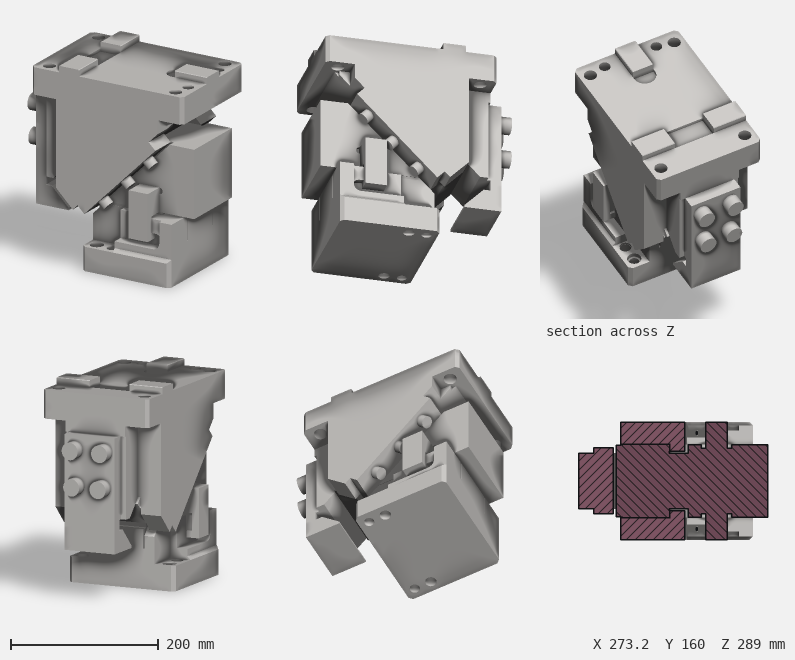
import cadquery as cq
import math


CHANNEL_ROOF_LEVEL = 95.5
ARM_LEVEL = 19.5
GIB_THICKNESS = 15.0
GIB_LEVEL = ARM_LEVEL - GIB_THICKNESS * math.sqrt(2)
GROOVE_LEVEL = -6.0
BASE_SLOPE_LEVEL = -6.6
LINER_THICKNESS = 9.0
LINER_LEVEL = CHANNEL_ROOF_LEVEL - LINER_THICKNESS * math.sqrt(2)
ARM_END_REACH = 151.5
SLIDER_END_REACH = 158.7
GIB_START_REACH = 166.5
GIB_END_REACH = 391.5

TOTAL_HEIGHT = 289.0
HALF_DEPTH = 80.0
CORNER_CHAMFER = 5.0
CHANNEL_HALF_WIDTH = 49.7
LINER_HALF_WIDTH = 48.5
GIB_INNER_Y = 40.0

PLATE_LENGTH = 240.0
PLATE_BOTTOM = 240.0
PLATE_TOP = 279.5
MOUNT_HOLE_DIAMETER = 18.0
MOUNT_HOLE_X = (20.0, 219.5)
MOUNT_HOLE_Y = 64.7
DOWEL_DIAMETER = 16.0
DOWEL_X = 224.5
DOWEL_Y = 40.0
DOWEL_DEPTH = 29.0
KEY_WIDTH = 31.8
KEY_CHAMFER = 1.0
KEYWAY_DEPTH = 5.0
CROSS_KEY_X = 59.8
CROSS_KEY_INNER_Y = 30.0
END_KEY_START = 189.0
END_KEYWAY_START = 168.8
CORE_HALF_WIDTH = 45.0
CORE_BOTTOM = 110.0
ARM_START = 40.0
ARM_END = 200.0
ARM_RIB_END = 214.5
ARM_RIB_OUTER_Y = 55.0
GIB_SCREW_DIAMETER = 16.8
GIB_SCREW_HEIGHT = 11.8
GIB_SCREW_Y = 65.0
GIB_SCREW_REACHES = (208.7, 279.2, 349.7)
STOP_HALF_WIDTH = 38.0
STOP_LEFT = -17.0
STOP_SEAT = 3.2
STOP_TOP = 225.0
STOP_BOTTOM = 65.0
STOP_NOTCH_X = -2.0
STOP_NOTCH_BOTTOM = 95.0
STOP_HOOK_X = 34.5
STOP_HOOK_SLOPE_START = 7.8
STOP_SCREW_DIAMETER = 24.0
STOP_SCREW_HEIGHT = 16.2
STOP_SCREWS = ((22.3, 205.0), (20.0, 155.0))

SLIDER_BOTTOM = 94.8
SLIDER_TOP = 195.0
NECK_HALF_WIDTH = 38.0
HOOK_START = 154.5
HOOK_END = 184.7
HOOK_BOTTOM = 60.7
HOOK_TOP = 130.0
HOOK_TOE_INNER_Y = 61.5
HOOK_LEG_INNER_Y = 70.0
HOOK_TONGUE_HEIGHT = 9.8
HOOK_POCKET_LENGTH = 40.5
HOOK_POCKET_DEPTH = 5.0

BASE_START = 80.0
BASE_END = 219.4
FOOT_TOP = 35.3
BASE_TOP = 90.7
SHOULDER_START = 129.5
SHOULDER_Y = 75.0
RIDGE_HALF_WIDTH = 32.5
RIDGE_STEP_X = 90.0
RIDGE_STEP_Z = 82.0
RAIL_END = 189.0
RAIL_OUTER_Y = 49.0
SLOT_OUTER_Y = 34.7
SLOT_BOTTOM = 55.5
RECESS_INNER_Y = 59.2
LIP_OUTER_Y = 68.5
LIP_START = 158.0
RECESS_END = 200.0
RECESS_BOTTOM = 50.0
RECESS_RADIUS = 10.0
LIP_BOTTOM = RECESS_BOTTOM + 2 * RECESS_RADIUS
BOLT_X = 95.0
BOLT_Y = 65.0
BOLT_DIAMETER = 14.0
BOLT_HEAD_DIAMETER = 19.5
BOLT_HEAD_DEPTH = 6.0
BASE_DOWEL_X = 120.0
BASE_DOWEL_DIAMETER = 15.5
BASE_DOWEL_RELIEF_DIAMETER = 16.5
BASE_DOWEL_RELIEF_DEPTH = 3.0


def on_slope(level, reach):
    """The (x, z) point where a plane along the slope meets a plane across it."""
    return ((reach - level) / 2, (reach + level) / 2)


def at_height(level, z):
    """The (x, z) point of a plane along the slope at a given height."""
    return (z - level, z)


def block(x0, x1, y0, y1, z0, z1):
    return cq.Workplane("XY").box(x1 - x0, y1 - y0, z1 - z0, centered=False).translate((x0, y0, z0))


def prism(points, y0, y1):
    """An outline in the XZ plane, extruded from y0 to y1."""
    return cq.Workplane("XZ", origin=(0, y0, 0)).polyline(points).close().extrude(y0 - y1)


def both_sides(shape):
    """A shape together with its mirror image across the middle plane."""
    return shape.union(shape.mirror("XZ"))


def upright_holes(places, diameter, bottom, top):
    holes = cq.Workplane("XY").workplane(offset=bottom).pushPoints(places)
    return holes.circle(diameter / 2).extrude(top - bottom)


def top_plate():
    plate = block(0, PLATE_LENGTH, -HALF_DEPTH, HALF_DEPTH, PLATE_BOTTOM, PLATE_TOP)
    plate = plate.edges("|Z").chamfer(CORNER_CHAMFER)
    floor = PLATE_TOP - KEYWAY_DEPTH
    half_key = KEY_WIDTH / 2

    key_left = CROSS_KEY_X - half_key
    key_right = CROSS_KEY_X + half_key
    cross_keyway = block(key_left, key_right, -HALF_DEPTH, HALF_DEPTH, floor, PLATE_TOP)
    end_keyway_center = END_KEYWAY_START + half_key
    end_keyway = block(end_keyway_center, PLATE_LENGTH, -half_key, half_key, floor, PLATE_TOP)
    end_keyway = end_keyway.union(upright_holes([(end_keyway_center, 0)], KEY_WIDTH, floor, PLATE_TOP))
    cross_key = block(key_left, key_right, CROSS_KEY_INNER_Y, HALF_DEPTH, floor, TOTAL_HEIGHT)
    cross_key = cross_key.edges(">Z and |Y").chamfer(KEY_CHAMFER)
    end_key = block(END_KEY_START, PLATE_LENGTH, -half_key, half_key, floor, TOTAL_HEIGHT)
    end_key = end_key.edges(">Z and |X").chamfer(KEY_CHAMFER)
    return plate.cut(cross_keyway).cut(end_keyway).union(both_sides(cross_key)).union(end_key)


def holder_core():
    return prism(
        [
            (0, PLATE_BOTTOM),
            (0, STOP_TOP),
            (STOP_SEAT, STOP_TOP),
            (STOP_SEAT, CORE_BOTTOM),
            at_height(CHANNEL_ROOF_LEVEL, CORE_BOTTOM),
            at_height(CHANNEL_ROOF_LEVEL, PLATE_BOTTOM),
        ],
        -CORE_HALF_WIDTH,
        CORE_HALF_WIDTH,
    )


def slider_channel():
    """The space between the arms: a narrower layer under the roof, then the full width."""

    def layer(level, half_width):
        roof_start = at_height(level, 0)
        roof_end = at_height(level, PLATE_BOTTOM)
        corner = (PLATE_LENGTH, PLATE_BOTTOM)
        return prism([roof_start, roof_end, corner, (PLATE_LENGTH, 0)], -half_width, half_width)

    return layer(CHANNEL_ROOF_LEVEL, LINER_HALF_WIDTH).union(layer(LINER_LEVEL, CHANNEL_HALF_WIDTH))


def arm():
    """A side arm, its end rib and the part of the slider channel sunk into it."""
    outline = [
        (ARM_START, PLATE_BOTTOM),
        (ARM_START, ARM_END_REACH - ARM_START),
        on_slope(ARM_LEVEL, ARM_END_REACH),
        (ARM_END, ARM_END + ARM_LEVEL),
        (ARM_END, PLATE_BOTTOM),
    ]
    rib_outline = [
        (ARM_END, PLATE_BOTTOM),
        (ARM_END, ARM_END + ARM_LEVEL),
        (ARM_RIB_END, ARM_RIB_END + ARM_LEVEL),
        (ARM_RIB_END, PLATE_BOTTOM),
    ]
    rib = prism(rib_outline, CORE_HALF_WIDTH, ARM_RIB_OUTER_Y)
    return prism(outline, CORE_HALF_WIDTH, HALF_DEPTH).union(rib).cut(slider_channel())


def gib():
    """The retaining plate under an arm, with the screw heads on its lower face."""
    outline = [
        on_slope(ARM_LEVEL, GIB_START_REACH),
        on_slope(GIB_LEVEL, GIB_START_REACH),
        on_slope(GIB_LEVEL, GIB_END_REACH),
        on_slope(ARM_LEVEL, GIB_END_REACH),
    ]
    plate = prism(outline, GIB_INNER_Y, HALF_DEPTH)
    for reach in GIB_SCREW_REACHES:
        x, z = on_slope(GIB_LEVEL, reach)
        head_plane = cq.Plane(origin=(x, GIB_SCREW_Y, z), xDir=(0, 1, 0), normal=(1, 0, -1))
        plate = plate.union(cq.Workplane(head_plane).circle(GIB_SCREW_DIAMETER / 2).extrude(GIB_SCREW_HEIGHT))
    return plate


def stop_plate():
    """The hooked plate on the left end of the holder, with its four screw heads."""
    hook_drop = STOP_HOOK_X - STOP_HOOK_SLOPE_START
    outline = [
        (STOP_LEFT, STOP_TOP),
        (STOP_SEAT, STOP_TOP),
        (STOP_SEAT, CORE_BOTTOM),
        (STOP_NOTCH_X, CORE_BOTTOM),
        (STOP_NOTCH_X, STOP_NOTCH_BOTTOM),
        (STOP_HOOK_SLOPE_START, STOP_NOTCH_BOTTOM),
        (STOP_HOOK_X, STOP_NOTCH_BOTTOM - hook_drop),
        (STOP_HOOK_X, STOP_BOTTOM),
        (STOP_LEFT, STOP_BOTTOM),
    ]
    plate = prism(outline, -STOP_HALF_WIDTH, STOP_HALF_WIDTH)
    places = [(side * y, z) for y, z in STOP_SCREWS for side in (-1, 1)]
    heads = cq.Workplane("YZ", origin=(STOP_LEFT, 0, 0)).pushPoints(places)
    return plate.union(heads.circle(STOP_SCREW_DIAMETER / 2).extrude(-STOP_SCREW_HEIGHT))


def make_holder():
    holder = top_plate().union(holder_core()).union(stop_plate())
    holder = holder.union(both_sides(arm())).union(both_sides(gib()))
    mount_places = [(x, side * MOUNT_HOLE_Y) for x in MOUNT_HOLE_X for side in (-1, 1)]
    dowel_places = [(DOWEL_X, side * DOWEL_Y) for side in (-1, 1)]
    holder = holder.cut(upright_holes(mount_places, MOUNT_HOLE_DIAMETER, PLATE_BOTTOM, PLATE_TOP))
    return holder.cut(upright_holes(dowel_places, DOWEL_DIAMETER, PLATE_TOP - DOWEL_DEPTH, PLATE_TOP))


def slider_layer(upper_level, lower_level, half_width):
    """One layer of the flange that fills the holder's channel."""
    outline = [
        on_slope(upper_level, SLIDER_END_REACH),
        at_height(upper_level, PLATE_BOTTOM),
        at_height(lower_level, PLATE_BOTTOM),
        on_slope(lower_level, SLIDER_END_REACH),
    ]
    return prism(outline, -half_width, half_width)


def slider_body():
    liner = slider_layer(CHANNEL_ROOF_LEVEL, LINER_LEVEL, LINER_HALF_WIDTH)
    flange = slider_layer(LINER_LEVEL, ARM_LEVEL, CHANNEL_HALF_WIDTH)
    below_slider = block(0, PLATE_LENGTH, -HALF_DEPTH, HALF_DEPTH, 0, SLIDER_BOTTOM)
    flange = flange.cut(below_slider)
    neck_outline = [
        at_height(ARM_LEVEL, SLIDER_BOTTOM),
        at_height(GROOVE_LEVEL, SLIDER_BOTTOM),
        at_height(GROOVE_LEVEL, SLIDER_TOP),
        at_height(ARM_LEVEL, SLIDER_TOP),
    ]
    neck = prism(neck_outline, -NECK_HALF_WIDTH, NECK_HALF_WIDTH)
    nose_outline = [
        at_height(GROOVE_LEVEL, SLIDER_BOTTOM),
        at_height(GROOVE_LEVEL, SLIDER_TOP),
        (PLATE_LENGTH, SLIDER_TOP),
        (PLATE_LENGTH, SLIDER_BOTTOM),
    ]
    nose = prism(nose_outline, -CHANNEL_HALF_WIDTH, CHANNEL_HALF_WIDTH)
    return flange.union(liner).union(neck).union(nose)


def return_hook():
    """The hook beside the slider whose toe runs under the lip of the base."""
    tongue_bottom = HOOK_TOP - HOOK_TONGUE_HEIGHT
    tongue_inner_y = CHANNEL_HALF_WIDTH - HOOK_POCKET_DEPTH
    bracket = block(HOOK_START, HOOK_END, CHANNEL_HALF_WIDTH, HALF_DEPTH, SLIDER_BOTTOM, HOOK_TOP)
    leg = block(HOOK_START, HOOK_END, HOOK_LEG_INNER_Y, HALF_DEPTH, HOOK_BOTTOM, HOOK_TOP)
    toe = block(HOOK_START, HOOK_END, HOOK_TOE_INNER_Y, HALF_DEPTH, HOOK_BOTTOM, LIP_BOTTOM)
    tongue = block(HOOK_START, HOOK_END, tongue_inner_y, HALF_DEPTH, tongue_bottom, HOOK_TOP)
    return bracket.union(leg).union(toe).union(tongue)


def hook_pocket():
    center = ((HOOK_START + HOOK_END) / 2, CHANNEL_HALF_WIDTH, HOOK_TOP - HOOK_TONGUE_HEIGHT / 2)
    slot = cq.Workplane("XZ", origin=center).slot2D(HOOK_POCKET_LENGTH, HOOK_TONGUE_HEIGHT)
    return slot.extrude(HOOK_POCKET_DEPTH)


def make_slider():
    return slider_body().cut(both_sides(hook_pocket())).union(both_sides(return_hook()))


def base_block():
    foot = block(BASE_START, BASE_END, -HALF_DEPTH, HALF_DEPTH, 0, FOOT_TOP)
    driver_outline = [
        (BASE_START, 0),
        (BASE_START, BASE_START + BASE_SLOPE_LEVEL),
        at_height(BASE_SLOPE_LEVEL, BASE_TOP),
        (BASE_END, BASE_TOP),
        (BASE_END, 0),
    ]
    driver = prism(driver_outline, -CHANNEL_HALF_WIDTH, CHANNEL_HALF_WIDTH)
    flare_top = FOOT_TOP + HALF_DEPTH - SHOULDER_Y
    shoulder = (
        cq.Workplane("YZ", origin=(SHOULDER_START, 0, 0))
        .moveTo(0, FOOT_TOP)
        .lineTo(HALF_DEPTH, FOOT_TOP)
        .lineTo(SHOULDER_Y, flare_top)
        .lineTo(SHOULDER_Y, BASE_TOP)
        .lineTo(0, BASE_TOP)
        .close()
        .extrude(BASE_END - SHOULDER_START)
    )
    envelope = block(BASE_START, BASE_END, -HALF_DEPTH, HALF_DEPTH, 0, BASE_TOP)
    envelope = envelope.edges("|Z").chamfer(CORNER_CHAMFER)
    return foot.union(driver).union(both_sides(shoulder)).intersect(envelope)


def ridge():
    outline = [
        (BASE_START, FOOT_TOP),
        (BASE_START, RIDGE_STEP_Z),
        (RIDGE_STEP_X, RIDGE_STEP_Z),
        (RIDGE_STEP_X, SLIDER_BOTTOM),
        (RAIL_END, SLIDER_BOTTOM),
        (RAIL_END, FOOT_TOP),
    ]
    return prism(outline, -RIDGE_HALF_WIDTH, RIDGE_HALF_WIDTH)


def rail():
    outline = [
        at_height(BASE_SLOPE_LEVEL, BASE_TOP),
        at_height(BASE_SLOPE_LEVEL, SLIDER_BOTTOM),
        (RAIL_END, SLIDER_BOTTOM),
        (RAIL_END, BASE_TOP),
    ]
    return prism(outline, GIB_INNER_Y, RAIL_OUTER_Y)


def hook_recess():
    """The side recess for a hook, undercut below a lip along its inner half."""
    entry = block(SHOULDER_START, LIP_START, RECESS_INNER_Y, SHOULDER_Y, RECESS_BOTTOM, BASE_TOP)
    outer = block(SHOULDER_START, RECESS_END, LIP_OUTER_Y, SHOULDER_Y, RECESS_BOTTOM, BASE_TOP)
    outer = outer.edges(">X and <Z").fillet(RECESS_RADIUS)
    undercut = block(SHOULDER_START, RECESS_END, RECESS_INNER_Y, LIP_OUTER_Y, RECESS_BOTTOM, LIP_BOTTOM)
    end_center = (RECESS_END - RECESS_RADIUS, LIP_OUTER_Y, RECESS_BOTTOM + RECESS_RADIUS)
    end_length = LIP_OUTER_Y - RECESS_INNER_Y
    square_end = block(end_center[0], RECESS_END, RECESS_INNER_Y, LIP_OUTER_Y, RECESS_BOTTOM, LIP_BOTTOM)
    round_end = cq.Workplane("XZ", origin=end_center).circle(RECESS_RADIUS).extrude(end_length)
    return undercut.cut(square_end).union(round_end).union(entry).union(outer)


def make_base():
    base = base_block().union(ridge()).union(both_sides(rail()))
    slot = block(BASE_START, BASE_END, RIDGE_HALF_WIDTH, SLOT_OUTER_Y, SLOT_BOTTOM, SLIDER_BOTTOM)
    base = base.cut(both_sides(slot)).cut(both_sides(hook_recess()))
    bolt_places = [(BOLT_X, side * BOLT_Y) for side in (-1, 1)]
    dowel_places = [(BASE_DOWEL_X, side * BOLT_Y) for side in (-1, 1)]
    base = base.cut(upright_holes(bolt_places, BOLT_DIAMETER, 0, FOOT_TOP))
    base = base.cut(upright_holes(bolt_places, BOLT_HEAD_DIAMETER, FOOT_TOP - BOLT_HEAD_DEPTH, FOOT_TOP))
    base = base.cut(upright_holes(dowel_places, BASE_DOWEL_DIAMETER, 0, FOOT_TOP))
    relief_floor = FOOT_TOP - BASE_DOWEL_RELIEF_DEPTH
    return base.cut(upright_holes(dowel_places, BASE_DOWEL_RELIEF_DIAMETER, relief_floor, FOOT_TOP))


holder = make_holder()
slider = make_slider()
base = make_base()
result = cq.Compound.makeCompound([holder.val(), slider.val(), base.val()])